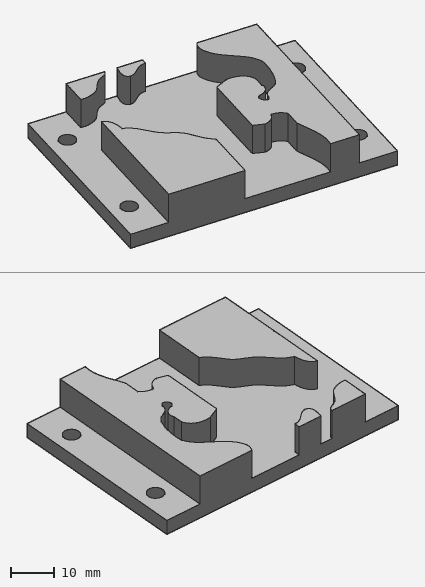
import cadquery as cq

width = 50.0
length = 70.0
total_height = 12.0
base_thickness = 4.0
end_strip = 10.0
block_depth = 20.0
block_height = total_height - base_thickness

hole_diameter = 4.3
hole_spacing_x = 30.0
hole_spacing_y = length - end_strip

side = width / 2
block_end = length / 2 - end_strip
block_inner = block_end - block_depth


def raise_block(outline):
    """Extrude a closed outline up from the top of the base plate."""
    return outline.close().extrude(block_height)


def start_outline(x, y):
    return cq.Workplane("XY").workplane(offset=base_thickness).moveTo(x, y)


def make_base():
    plate = cq.Workplane("XY").box(width, length, base_thickness, centered=(True, True, False))
    return (
        plate.faces(">Z").workplane()
        .rarray(hole_spacing_x, hole_spacing_y, 2, 2)
        .hole(hole_diameter)
    )


def make_wave_block():
    """Back block: a wave on the left, a hooked channel, and a hanging lobe."""
    wave = [(-22.75, 8.8), (-20.9, 9.5), (-18.35, 11.75), (-13.6, 17.8), (-11.2, 19.1)]
    crest = [(-9.25, 19.25), (-7.35, 19.1), (-3.8, 18.35), (-1.8, 17.2), (-0.35, 14.85), (1.8, 13.7)]
    channel_tip = [(2.5, 12.5), (1.4, 11.55), (0.2, 12.5)]
    channel_return = [(-0.5, 13.85), (-1.8, 14.7), (-3.2, 14.5)]
    lobe_left = [(-7.9, 13.0), (-8.9, 10.65), (-8.9, 8.25)]
    lobe_right = [(10.4, 9.3), (8.2, 10.9)]
    notch = [(8.8, 13.45), (9.7, 14.5)]
    right_rise = [(16.95, 15.75), (20.2, 17.0), (side, 17.35)]
    outline = (
        start_outline(-side, block_end)
        .lineTo(-side, 9.3)
        .spline(wave + crest, includeCurrent=True)
        .spline(channel_tip, includeCurrent=True)
        .spline(channel_return, includeCurrent=True)
        .lineTo(-5.9, 14.5)
        .spline(lobe_left, includeCurrent=True)
        .lineTo(-7.3, block_inner)
        .lineTo(10.0, block_inner)
        .lineTo(10.9, 7.85)
        .spline(lobe_right, includeCurrent=True)
        .spline(notch, includeCurrent=True)
        .lineTo(14.0, 14.5)
        .spline(right_rise, includeCurrent=True)
        .lineTo(side, block_end)
    )
    return raise_block(outline)


def make_slope_block():
    """Front right block with a wavy sloping side."""
    slope = [(8.5, -7.7), (5.1, -10.5), (2.6, -14.9), (-1.7, -19.3), (-3.15, -22.05)]
    toe = [(-5.5, -22.6), (-7.2, -23.7), (-7.85, -block_end)]
    outline = (
        start_outline(side, -block_inner)
        .lineTo(10.8, -block_inner)
        .spline(slope, includeCurrent=True)
        .spline(toe, includeCurrent=True)
        .lineTo(side, -block_end)
    )
    return raise_block(outline)


def make_nub():
    """Small block on the left edge."""
    flank = [(-23.0, -6.7), (-21.15, -9.0), (-20.6, -10.4)]
    underside = [(-21.3, -11.6), (-23.2, -11.9), (-side, -11.6)]
    outline = (
        start_outline(-side, -block_inner)
        .lineTo(-23.45, -block_inner)
        .spline(flank, includeCurrent=True)
        .spline(underside, includeCurrent=True)
    )
    return raise_block(outline)


def make_corner_block():
    """Front left block falling away from the left edge."""
    upper_flank = [(-24.1, -15.25), (-23.2, -16.9), (-21.3, -18.8)]
    lower_flank = [(-19.25, -20.2), (-18.1, -22.25), (-17.8, -23.7)]
    outline = (
        start_outline(-side, -14.9)
        .spline(upper_flank + lower_flank, includeCurrent=True)
        .lineTo(-17.8, -block_end)
        .lineTo(-side, -block_end)
    )
    return raise_block(outline)


result = (
    make_base()
    .union(make_wave_block())
    .union(make_slope_block())
    .union(make_nub())
    .union(make_corner_block())
)